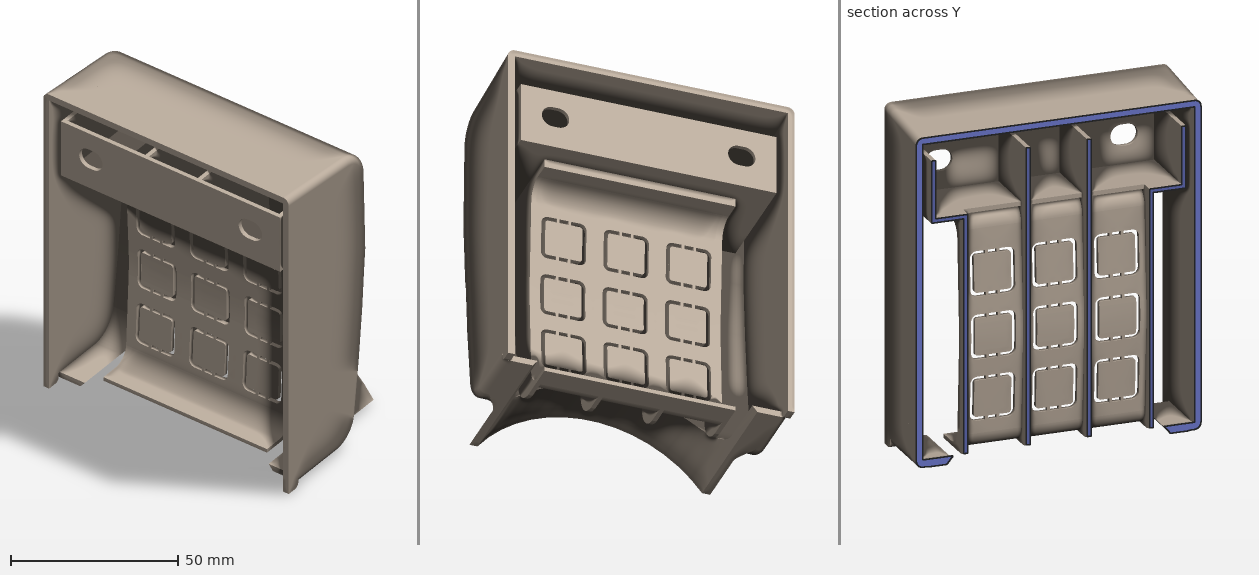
import cadquery as cq
import math

width = 91.5
height = 108.9
wall = 2.2
edge_round = 2.2
top_slope = 5.0
bottom_z = 1.1
floor_top_z = 3.0
roof_round = 9.8
roof_start_y = 29.8
roof_start = (roof_start_y, height - roof_start_y * math.tan(math.radians(top_slope)))
roof_end = (38.9, 96.6)
back_bend = (39.7, 68.1)
back_middle = (37.6, 39.6)
back_end = (34.1, 9.4)
floor_start_y = 24.6
floor_front_y = 5.3
inner_floor_start_y = 23.5
inner_shift = 0.2

collar_back_y = 52.3
collar_root_y = 10.9
collar_top_z = 20.8
collar_half_width = 38.4
collar_wall = 2.1
collar_blend = 2.2
collar_joint_y = 35.5
collar_rise = collar_top_z - bottom_z
collar_radius = (collar_half_width**2 + collar_rise**2) / (2 * collar_rise)
collar_axis_z = collar_top_z - collar_radius
collar_overhang = 5.4

plug_tab_depth = 4.8
plug_tab_round = 1.6
plug_corner = 4.4

top_plug_tab_half = 38.9
top_plug_half = 36.0
top_plug_end_half = 35.3
top_plug_shoulder_y = 19.5
top_plug_crown_y = 20.8
top_plug_low_z = 92.6

side_plug_tab_top_z = 77.9
side_plug_top_z = 75.1
side_plug_shoulder_z = 73.3
side_plug_shoulder_y = 19.2
side_plug_crown_y = 20.9
side_plug_bottom_z = 3.3

skin = 1.4
frame_back_y = 43.6
box_half_width = 40.8
box_front_y = 2.3
box_bottom_z = 78.8
box_top_z = 98.9
screw_x = 29.7
screw_z = 89.5
screw_slot_length = 8.7
screw_slot_height = 6.9
rib_x = 9.8

tray_half_width = 30.5
tray_front_y = 9.6
tray_ceiling_z = 76.1
tray_floor_z = 4.4
panel_bend_y = 22.2
panel_bend_half = 4.4
panel_lean = 2.8
tray_round = 5.4

key_pitch = 19.9
key_middle_z = 39.4
key_hole = 14.4
key_hole_round = 2.2
key_size = 11.9
key_round = 0.9
key_bridge_x = 1.9
key_bridge_width = 0.9
key_cut_front_y = 10.9
key_cut_back_y = 32.7


def extrude_x(profile, x_min, x_max):
    """Extrude a profile drawn in the YZ plane between two X positions."""
    return profile.extrude(x_max - x_min).translate((x_min, 0, 0))


def block(x_min, x_max, y_min, y_max, z_min, z_max):
    """Box given by its limits."""
    size = (x_max - x_min, y_max - y_min, z_max - z_min)
    return cq.Workplane("XY").box(*size, centered=False).translate((x_min, y_min, z_min))


def arc_middle(start, end, radius):
    """Middle point of a minor arc that turns clockwise from start to end."""
    dy = end[0] - start[0]
    dz = end[1] - start[1]
    chord = math.hypot(dy, dz)
    sagitta = radius - math.sqrt(radius**2 - (chord / 2) ** 2)
    middle_y = (start[0] + end[0]) / 2 - dz / chord * sagitta
    middle_z = (start[1] + end[1]) / 2 + dy / chord * sagitta
    return (middle_y, middle_z)


def outer_shape():
    """Solid outline of the housing with rounded side edges."""
    floor_start = (floor_start_y, bottom_z)
    profile = (
        cq.Workplane("YZ")
        .moveTo(0, bottom_z)
        .lineTo(0, height)
        .lineTo(*roof_start)
        .threePointArc(arc_middle(roof_start, roof_end, roof_round), roof_end)
        .lineTo(*back_bend)
        .threePointArc(back_middle, back_end)
        .threePointArc(arc_middle(back_end, floor_start, roof_round), floor_start)
        .close()
    )
    body = extrude_x(profile, -width / 2, width / 2)
    behind_rim = cq.selectors.BoxSelector((-width, 0.1, -1.1), (width, collar_back_y, height + 1.1))
    return body.faces("<X or >X").edges(behind_rim).fillet(edge_round)


def cavity_shape():
    """Hollow of the housing, open at the front."""
    floor_start = (inner_floor_start_y, floor_top_z)
    start = (roof_start[0] - inner_shift, roof_start[1] - wall)
    end = (roof_end[0] - wall, roof_end[1])
    bottom = (back_end[0] - wall + inner_shift, back_end[1] + wall)
    profile = (
        cq.Workplane("YZ")
        .moveTo(0, floor_top_z)
        .lineTo(0, height - wall)
        .lineTo(*start)
        .threePointArc(arc_middle(start, end, roof_round - wall), end)
        .lineTo(back_bend[0] - wall, back_bend[1])
        .threePointArc((back_middle[0] - wall, back_middle[1]), bottom)
        .threePointArc(arc_middle(bottom, floor_start, roof_round), floor_start)
        .close()
    )
    return extrude_x(profile, wall - width / 2, width / 2 - wall)


def collar_cylinder(radius, y_start):
    """Full cylinder about the collar axis, from y_start to the back end of the collar."""
    base = cq.Workplane("XZ", origin=(0, collar_back_y, collar_axis_z))
    return base.circle(radius).extrude(collar_back_y - y_start)


def add_collar(body):
    """Join the collar to the shell, blend the joint and trim everything level with the floor."""
    kept = block(-width, width, collar_root_y, collar_back_y, bottom_z - collar_overhang, height)
    body = body.union(collar_cylinder(collar_radius, collar_root_y).intersect(kept))
    joint = cq.selectors.NearestToPointSelector((0, collar_joint_y, collar_top_z))
    body = body.edges(joint).fillet(collar_blend)
    return body.intersect(block(-width, width, 0, collar_back_y, bottom_z, height))


def top_plug_prism():
    """Upright prism with the outline of the roof plug."""
    outline = (
        cq.Workplane("XY")
        .moveTo(-top_plug_tab_half, 0)
        .lineTo(-top_plug_tab_half, plug_tab_depth - plug_tab_round)
        .radiusArc((plug_tab_round - top_plug_tab_half, plug_tab_depth), plug_tab_round)
        .lineTo(-top_plug_half, plug_tab_depth)
        .lineTo(-top_plug_end_half, top_plug_shoulder_y - plug_corner)
        .radiusArc((plug_corner - top_plug_end_half, top_plug_shoulder_y), plug_corner)
        .threePointArc((0, top_plug_crown_y), (top_plug_end_half - plug_corner, top_plug_shoulder_y))
        .radiusArc((top_plug_end_half, top_plug_shoulder_y - plug_corner), plug_corner)
        .lineTo(top_plug_half, plug_tab_depth)
        .lineTo(top_plug_tab_half - plug_tab_round, plug_tab_depth)
        .radiusArc((top_plug_tab_half, plug_tab_depth - plug_tab_round), plug_tab_round)
        .lineTo(top_plug_tab_half, 0)
        .close()
    )
    return outline.extrude(height - top_plug_low_z).translate((0, 0, top_plug_low_z))


def side_plug(x_min):
    """Plug as thick as the side wall, with a tab above and one below its front edge."""
    crown_z = (side_plug_bottom_z + side_plug_shoulder_z) / 2
    lower_shoulder = (side_plug_shoulder_y, side_plug_bottom_z + plug_corner)
    profile = (
        cq.Workplane("YZ")
        .moveTo(0, 0)
        .lineTo(0, side_plug_tab_top_z)
        .lineTo(plug_tab_depth - plug_tab_round, side_plug_tab_top_z)
        .radiusArc((plug_tab_depth, side_plug_tab_top_z - plug_tab_round), plug_tab_round)
        .lineTo(plug_tab_depth, side_plug_top_z)
        .lineTo(side_plug_shoulder_y - plug_corner, side_plug_shoulder_z)
        .radiusArc((side_plug_shoulder_y, side_plug_shoulder_z - plug_corner), plug_corner)
        .threePointArc((side_plug_crown_y, crown_z), lower_shoulder)
        .radiusArc((side_plug_shoulder_y - plug_corner, side_plug_bottom_z), plug_corner)
        .lineTo(plug_tab_depth, side_plug_bottom_z)
        .lineTo(plug_tab_depth, plug_tab_round)
        .radiusArc((plug_tab_depth - plug_tab_round, 0), plug_tab_round)
        .close()
    )
    return extrude_x(profile, x_min, x_min + wall)


def panel_y(z):
    """Y of the flat parts of the key panel, which lean forward above and below the bend."""
    return panel_bend_y - (abs(z - key_middle_z) - panel_bend_half) * math.tan(math.radians(panel_lean))


def tray_well(growth, low_z, high_z):
    """Space in front of the key panel, with its back face moved back by the given growth."""
    bend_y = panel_bend_y + growth
    profile = (
        cq.Workplane("YZ")
        .moveTo(tray_front_y, low_z)
        .lineTo(panel_y(low_z) + growth, low_z)
        .lineTo(bend_y, key_middle_z - panel_bend_half)
        .tangentArcPoint((bend_y, key_middle_z + panel_bend_half), relative=False)
        .lineTo(panel_y(high_z) + growth, high_z)
        .lineTo(tray_front_y, high_z)
        .close()
    )
    well = extrude_x(profile, -tray_half_width, tray_half_width)
    for z in (low_z, high_z):
        corner = cq.selectors.NearestToPointSelector((0, panel_y(z) + growth, z))
        well = well.edges(corner).fillet(tray_round)
    return well


def screw_box():
    """Open-topped box with two screw slots; its floor is open behind the key panel."""
    shell = block(-box_half_width, box_half_width, box_front_y, frame_back_y, box_bottom_z, box_top_z)
    inner_half = box_half_width - skin
    inside = block(-inner_half, inner_half, box_front_y + skin, frame_back_y, box_bottom_z + skin, box_top_z)
    passage_half = tray_half_width - skin
    passage_y = panel_y(box_bottom_z) + skin
    passage = block(-passage_half, passage_half, passage_y, frame_back_y, box_bottom_z, box_top_z)
    slots = (
        cq.Workplane("XZ", origin=(0, box_front_y + skin, screw_z))
        .pushPoints([(-screw_x, 0), (screw_x, 0)])
        .slot2D(screw_slot_length, screw_slot_height)
        .extrude(skin)
    )
    return shell.cut(inside).cut(passage).cut(slots)


def key_block(size, corner):
    """Rounded square block along Y, centred on the origin in X and Z."""
    base = cq.Workplane("XZ", origin=(0, key_cut_back_y, 0)).rect(size, size)
    return base.extrude(key_cut_back_y - key_cut_front_y).edges("|Y").fillet(corner)


def key_gap():
    """Gap around one key, interrupted by the thin bridges that hold the key."""
    gap = key_block(key_hole, key_hole_round).cut(key_block(key_size, key_round))
    half = key_bridge_width / 2
    for x in (-key_bridge_x, key_bridge_x):
        gap = gap.cut(block(x - half, x + half, 0, frame_back_y, -key_hole, key_hole))
    return gap


def key_tray(well):
    """Curved key panel with a shelf above and below, and nine keys cut free around their edges."""
    tray = tray_well(skin, floor_top_z, box_bottom_z).cut(well)
    gap = key_gap()
    for column in (-1, 0, 1):
        for row in (-1, 0, 1):
            tray = tray.cut(gap.translate((column * key_pitch, 0, key_middle_z + row * key_pitch)))
    return tray


def upright(x, front_y, low_z, high_z):
    """Upright plate of skin thickness, centred on x."""
    return block(x - skin / 2, x + skin / 2, front_y, frame_back_y, low_z, high_z)


def frame_shape():
    """Screw box and key tray, joined by side plates and ribs and trimmed to the cavity."""
    well = tray_well(0, tray_floor_z, tray_ceiling_z)
    frame = screw_box().union(key_tray(well))
    side_x = tray_half_width - skin / 2
    for x in (-side_x, -rib_x, rib_x, side_x):
        frame = frame.union(upright(x, tray_front_y, floor_top_z, box_bottom_z).cut(well))
    for x in (-rib_x, rib_x):
        frame = frame.union(upright(x, box_front_y, box_bottom_z, box_top_z))
    return frame.intersect(cavity)


outer = outer_shape()
cavity = cavity_shape()

top_plug = outer.cut(cavity).intersect(top_plug_prism())
side_plugs = [side_plug(x_min) for x_min in (-width / 2, width / 2 - wall)]
frame = frame_shape()

housing = add_collar(outer).cut(cavity)
housing = housing.cut(collar_cylinder(collar_radius - collar_wall, 0))
housing = housing.cut(block(-width, width, -1.1, floor_front_y, 0, floor_top_z))
for plug in (top_plug, *side_plugs):
    housing = housing.cut(plug)

result = cq.Compound.makeCompound(
    [
        *housing.vals(),
        *top_plug.vals(),
        *[plug.val() for plug in side_plugs],
        *frame.vals(),
    ]
)